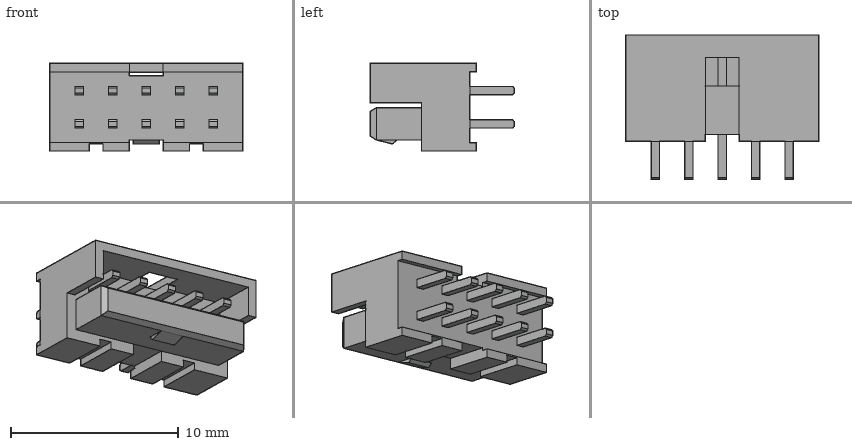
import cadquery as cq

LENGTH_X = 11.56
HEIGHT_Z = 5.27
DEPTH_Y = 8.64
TOP_Z = HEIGHT_Z / 2
BOTTOM_Z = -HEIGHT_Z / 2
FRONT_Y = DEPTH_Y / 2
TAIL_TIP_Y = -DEPTH_Y / 2

HOUSING_DEPTH = 6.36
FLANGE_DEPTH = 0.39
FLANGE_THICKNESS = 0.52
WALL_THICKNESS = 0.55
STEP_DEPTH = 3.06
HOOD_HEIGHT = 2.38
BASE_TOP_DROP = 0.75
KEYWAY_WIDTH = 2.02
KEYWAY_START = 1.35
HOUSING_REAR_Y = FRONT_Y - HOUSING_DEPTH
WALL_REAR_Y = HOUSING_REAR_Y + FLANGE_DEPTH
BASE_FRONT_Y = FRONT_Y - STEP_DEPTH

BLOCK_TOP_DROP = 2.66
BLOCK_HEIGHT = 1.94
BLOCK_INSET = 0.65
BLOCK_TAPER_DEPTH = 0.37
BLOCK_TAPER_INSET = 0.23
LATCH_WIDTH = 1.58
LATCH_HEIGHT = 0.24
LATCH_PEAK = 1.34
LATCH_END = 1.61
BLOCK_TOP_Z = TOP_Z - BLOCK_TOP_DROP
BLOCK_BOTTOM_Z = BLOCK_TOP_Z - BLOCK_HEIGHT
BLOCK_LENGTH = LENGTH_X - 2 * BLOCK_INSET

CAVITY_WIDTH = LENGTH_X - 2 * WALL_THICKNESS

VENT_WIDTH = 0.8
VENT_HEIGHT = 0.44
VENT_OFFSET_PITCHES = 1.5

PITCH = 2.0
PINS_PER_ROW = 5
PIN_SIZE = 0.51
PIN_CHAMFER = 0.12
UPPER_ROW_DROP = 1.64
UPPER_ROW_Z = TOP_Z - UPPER_ROW_DROP
LOWER_ROW_Z = UPPER_ROW_Z - PITCH
PIN_RECESS = 0.43


def box(width, y_range, z_range):
    """Box centred on X that spans the given Y and Z ranges."""
    y_low, y_high = y_range
    z_low, z_high = z_range
    return (
        cq.Workplane("XY")
        .box(width, y_high - y_low, z_high - z_low, centered=(True, False, False))
        .translate((0, y_low, z_low))
    )


def make_pin(x, z, y_low, y_high):
    """Square pin along Y with its tips bevelled above and below."""
    pin = box(PIN_SIZE, (y_low, y_high), (z - PIN_SIZE / 2, z + PIN_SIZE / 2))
    return pin.edges("|X").chamfer(PIN_CHAMFER).translate((x, 0, 0))


def make_shell():
    """Base and hood in one piece, hollowed out under the hood's roof."""
    hood_bottom_z = TOP_Z - HOOD_HEIGHT
    cavity_z = (hood_bottom_z, TOP_Z - WALL_THICKNESS)
    shell = box(LENGTH_X, (HOUSING_REAR_Y, BASE_FRONT_Y), (BOTTOM_Z, TOP_Z))
    shell = shell.union(box(LENGTH_X, (BASE_FRONT_Y, FRONT_Y), (hood_bottom_z, TOP_Z)))
    rear_recess_z = (BOTTOM_Z + FLANGE_THICKNESS, TOP_Z - FLANGE_THICKNESS)
    shell = shell.cut(box(LENGTH_X, (HOUSING_REAR_Y, WALL_REAR_Y), rear_recess_z))
    return shell.cut(box(CAVITY_WIDTH, (BASE_FRONT_Y, FRONT_Y), cavity_z))


def cut_keyways(shell):
    """Keyway through the roof and base top, and the latch keyway under the base."""
    roof_y = (HOUSING_REAR_Y, FRONT_Y - KEYWAY_START)
    shell = shell.cut(box(KEYWAY_WIDTH, roof_y, (TOP_Z - BASE_TOP_DROP, TOP_Z)))
    base_y = (HOUSING_REAR_Y, BASE_FRONT_Y)
    return shell.cut(box(KEYWAY_WIDTH, base_y, (BOTTOM_Z, BLOCK_BOTTOM_Z)))


def cut_vents(shell):
    """Two notches along the underside of the base."""
    vent_z = (BOTTOM_Z, BOTTOM_Z + VENT_HEIGHT)
    vent = box(VENT_WIDTH, (HOUSING_REAR_Y, BASE_FRONT_Y), vent_z)
    for side in (-1, 1):
        shell = shell.cut(vent.translate((side * VENT_OFFSET_PITCHES * PITCH, 0, 0)))
    return shell


def add_pins(shell):
    """Upper pins run on into the cavity; lower pins end at the socket block."""
    for index in range(PINS_PER_ROW):
        x = (index - (PINS_PER_ROW - 1) / 2) * PITCH
        shell = shell.union(make_pin(x, UPPER_ROW_Z, TAIL_TIP_Y, FRONT_Y - PIN_RECESS))
        shell = shell.union(make_pin(x, LOWER_ROW_Z, TAIL_TIP_Y, BASE_FRONT_Y))
    return shell


def make_housing():
    return add_pins(cut_vents(cut_keyways(make_shell())))


def make_latch():
    """Wedge-shaped catch under the block, rising from the start of its taper."""
    return (
        cq.Workplane("YZ")
        .moveTo(FRONT_Y - BLOCK_TAPER_DEPTH, BLOCK_BOTTOM_Z)
        .lineTo(FRONT_Y - LATCH_PEAK, BLOCK_BOTTOM_Z - LATCH_HEIGHT)
        .lineTo(FRONT_Y - LATCH_END, BLOCK_BOTTOM_Z)
        .close()
        .extrude(LATCH_WIDTH / 2, both=True)
    )


def make_socket_block():
    """Block against the base front, tapered all round at the mating face."""
    taper_start_y = FRONT_Y - BLOCK_TAPER_DEPTH
    block = box(BLOCK_LENGTH, (BASE_FRONT_Y, taper_start_y), (BLOCK_BOTTOM_Z, BLOCK_TOP_Z))
    taper = (
        cq.Workplane("XZ", origin=(0, taper_start_y, (BLOCK_BOTTOM_Z + BLOCK_TOP_Z) / 2))
        .rect(BLOCK_LENGTH, BLOCK_HEIGHT)
        .workplane(offset=-BLOCK_TAPER_DEPTH)
        .rect(BLOCK_LENGTH - 2 * BLOCK_TAPER_INSET, BLOCK_HEIGHT - 2 * BLOCK_TAPER_INSET)
        .loft(ruled=True)
    )
    block = block.union(taper)
    return block.union(make_latch())


housing = make_housing()
socket_block = make_socket_block()
result = cq.Compound.makeCompound([housing.val(), socket_block.val()])